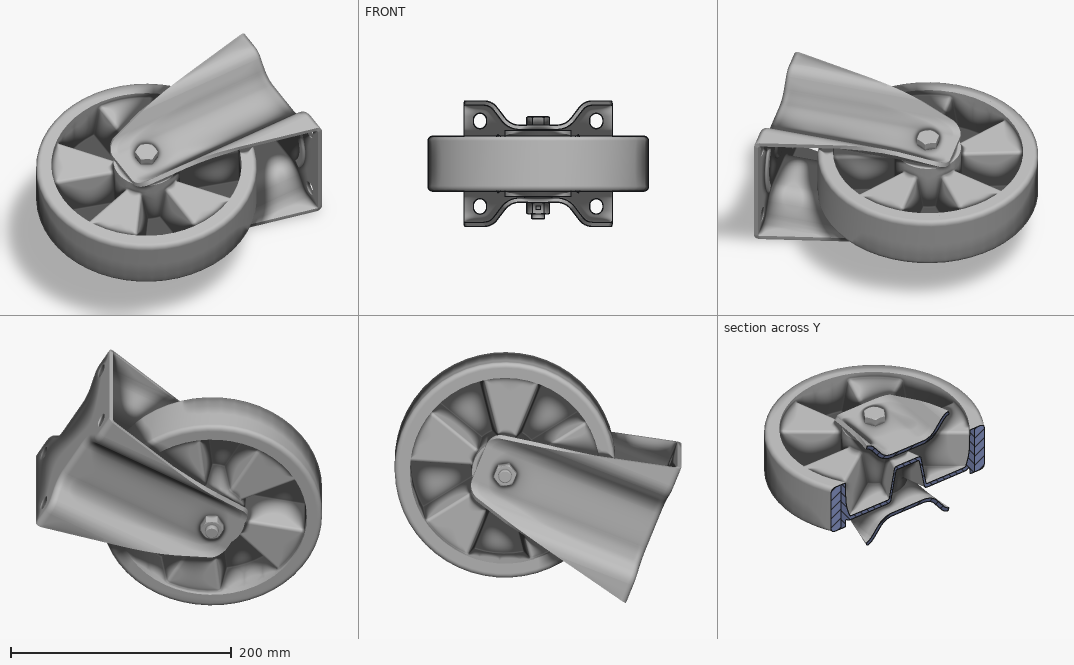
import cadquery as cq
import math


TREAD_RADIUS = 100.0
TREAD_HALF_WIDTH = 25.0
TREAD_EDGE_FILLET = 4.5
CORE_RADIUS = 90.5
RIM_INNER_RADIUS = 86.2
HUB_RADIUS = 30.0
HUB_HALF_WIDTH = 30.0
DRAFT_ANGLE = 1.0
WEB_SECTOR_PAIRS = 5
WEB_RAISED_LEVEL = 19.4
WEB_LOW_LEVEL = -14.7
WEB_WALL_FOOT_OFFSET = 4.0
WEB_WALL_ANGLE = 10.0
WEB_WALL_FILLET = 3.2
WEB_CORNER_FILLET = 1.2

SHEET = 4.0
BRACKET_HEIGHT = 114.0
BRACKET_HALF_WIDTH = 67.4
PLATE_BACK = 145.0
BEND_OUTER_RADIUS = 5.5
ARM_TIP = -25.5
ARM_TIP_HALF_WIDTH = 27.2
ARM_TIP_RADIUS = 13.5
ARM_SEAT_HALF_HEIGHT = 35.0
ARM_SEAT_HALF_WIDTH = 17.2
ARM_VALLEY_RADIUS = 16.0
ARM_CREST_RADIUS = 15.0
ARM_SLOPE_ANGLE = 52.5

SLOT_X = 52.7
SLOT_Z = 38.7
SLOT_LENGTH = 13.7
SLOT_WIDTH = 11.8
EMBOSS_HEIGHT = 2.5
EMBOSS_FILLET = 2.0
RIDGE_OUTER_RADIUS = 45.0
RIDGE_WIDTH = 8.0
RIDGE_HALF_HEIGHT = 26.5
BOSS_RADIUS = 11.8

BOLT_RADIUS = 6.0
BOLT_END = -50.2
BOLT_END_CHAMFER = 0.7
HEX_ACROSS_FLATS = 18.1
HEX_CHAMFER = 0.7
HEAD_HEIGHT = 7.5
NUT_HEIGHT = 10.5
NUT_MARK_WIDTH = 4.0
NUT_MARK_HEIGHT = 3.2
NUT_MARK_DEPTH = 0.5
NUT_MARK_Z = -40.0
SPACER_RADIUS = 12.5

BRACKET_HALF_HEIGHT = BRACKET_HEIGHT / 2
ARM_INNER_Z = ARM_SEAT_HALF_HEIGHT - SHEET
PLATE_INNER_Y = PLATE_BACK - SHEET
SECTOR_ANGLE = 180 / WEB_SECTOR_PAIRS
DRAFT_INSET = (HUB_HALF_WIDTH - WEB_LOW_LEVEL) * math.tan(math.radians(DRAFT_ANGLE))
HUB_FOOT_RADIUS = HUB_RADIUS + DRAFT_INSET
RIM_FOOT_RADIUS = RIM_INNER_RADIUS - DRAFT_INSET


def cylinder(radius, bottom, top):
    """Cylinder about the Z axis between two heights."""
    return cq.Workplane("XY", origin=(0, 0, bottom)).circle(radius).extrude(top - bottom)


def make_tread():
    """Tyre ring with rounded outer edges."""
    blank = cylinder(TREAD_RADIUS, -TREAD_HALF_WIDTH, TREAD_HALF_WIDTH).edges().fillet(TREAD_EDGE_FILLET)
    return blank.cut(cylinder(CORE_RADIUS, -TREAD_HALF_WIDTH, TREAD_HALF_WIDTH))


def raised_web_block(index):
    """Wedge of one raised web sector, with sloping side walls and rounded upper edges."""
    half_angle = math.radians(SECTOR_ANGLE / 2)
    apex = -WEB_WALL_FOOT_OFFSET / math.sin(half_angle)
    reach = 2 * TREAD_RADIUS
    half_reach = (reach - apex) * math.tan(half_angle)
    block = (
        cq.Workplane("XY", origin=(0, 0, WEB_LOW_LEVEL))
        .polyline([(apex, 0), (reach, -half_reach), (reach, half_reach)])
        .close()
        .extrude(WEB_RAISED_LEVEL - WEB_LOW_LEVEL, taper=WEB_WALL_ANGLE)
    )
    block = block.faces(">Z").edges("not(|Y)").fillet(WEB_WALL_FILLET)
    return block.rotate((0, 0, 0), (0, 0, 1), SECTOR_ANGLE * (2 * index + 0.5))


def web_cavity():
    """Space above the corrugated web, between the drafted hub and the drafted rim."""
    cavity = (
        cq.Workplane("XZ")
        .polyline(
            [
                (HUB_RADIUS, HUB_HALF_WIDTH),
                (HUB_FOOT_RADIUS, WEB_LOW_LEVEL),
                (RIM_FOOT_RADIUS, WEB_LOW_LEVEL),
                (RIM_INNER_RADIUS, HUB_HALF_WIDTH),
            ]
        )
        .close()
        .revolve(360, (0, 0), (0, 1))
    )
    for index in range(WEB_SECTOR_PAIRS):
        cavity = cavity.cut(raised_web_block(index))
    corners = [
        edge
        for edge in cavity.edges().vals()
        if edge.Center().z < WEB_RAISED_LEVEL + WEB_CORNER_FILLET
        and (edge.geomType() != "LINE" or edge.Center().z < WEB_LOW_LEVEL + WEB_CORNER_FILLET)
    ]
    return cavity.newObject(corners).fillet(WEB_CORNER_FILLET)


def make_core():
    """Hub, corrugated web and rim; the upper and lower cavities leave the drafted hub and the web."""
    rim_blank = cylinder(CORE_RADIUS, -TREAD_HALF_WIDTH, TREAD_HALF_WIDTH)
    hub_blank = cylinder(HUB_FOOT_RADIUS, -HUB_HALF_WIDTH, HUB_HALF_WIDTH)
    core = rim_blank.union(hub_blank)
    cavity = web_cavity()
    core = core.cut(cavity).cut(cavity.rotate((0, 0, 0), (1, 0, 0), 180))
    return core.cut(cylinder(BOLT_RADIUS, -HUB_HALF_WIDTH, HUB_HALF_WIDTH))


def bracket_envelope():
    """Solid whose curved and back faces are the outer skin of the bracket."""
    angle = math.radians(ARM_SLOPE_ANGLE)
    valley_end_x = ARM_SEAT_HALF_WIDTH + ARM_VALLEY_RADIUS * math.sin(angle)
    valley_end_z = ARM_SEAT_HALF_HEIGHT + ARM_VALLEY_RADIUS * (1 - math.cos(angle))
    crest_start_z = BRACKET_HALF_HEIGHT - ARM_CREST_RADIUS * (1 - math.cos(angle))
    crest_start_x = valley_end_x + (crest_start_z - valley_end_z) / math.tan(angle)
    crest_end_x = crest_start_x + ARM_CREST_RADIUS * math.sin(angle)
    valley_mid_x = ARM_SEAT_HALF_WIDTH + ARM_VALLEY_RADIUS * math.sin(angle / 2)
    valley_mid_z = ARM_SEAT_HALF_HEIGHT + ARM_VALLEY_RADIUS * (1 - math.cos(angle / 2))
    crest_mid_x = crest_end_x - ARM_CREST_RADIUS * math.sin(angle / 2)
    crest_mid_z = BRACKET_HALF_HEIGHT - ARM_CREST_RADIUS * (1 - math.cos(angle / 2))
    quarter = (
        cq.Workplane("XZ", origin=(0, PLATE_BACK, 0))
        .lineTo(0, ARM_SEAT_HALF_HEIGHT)
        .lineTo(ARM_SEAT_HALF_WIDTH, ARM_SEAT_HALF_HEIGHT)
        .threePointArc((valley_mid_x, valley_mid_z), (valley_end_x, valley_end_z))
        .lineTo(crest_start_x, crest_start_z)
        .threePointArc((crest_mid_x, crest_mid_z), (crest_end_x, BRACKET_HALF_HEIGHT))
        .lineTo(BRACKET_HALF_WIDTH, BRACKET_HALF_HEIGHT)
        .lineTo(BRACKET_HALF_WIDTH, 0)
        .close()
        .extrude(PLATE_BACK - ARM_TIP)
    )
    half = quarter.union(quarter.mirror("YZ"))
    envelope = half.union(half.mirror("XY")).clean()
    outline = (
        cq.Workplane("XY", origin=(0, 0, -BRACKET_HALF_HEIGHT))
        .polyline(
            [
                (-BRACKET_HALF_WIDTH, PLATE_BACK),
                (BRACKET_HALF_WIDTH, PLATE_BACK),
                (ARM_TIP_HALF_WIDTH, ARM_TIP),
                (-ARM_TIP_HALF_WIDTH, ARM_TIP),
            ]
        )
        .close()
        .extrude(2 * BRACKET_HALF_HEIGHT)
        .edges("|Z and <Y")
        .fillet(ARM_TIP_RADIUS)
    )
    envelope = envelope.faces(">Y").edges("not(|Z)").fillet(BEND_OUTER_RADIUS)
    return envelope.intersect(outline)


def bracket_sheet():
    """Bracket sheet: every skin face thickened inwards, so that its cut edges stay square to the sheet."""
    sheet = None
    for face in bracket_envelope().faces().vals():
        normal = face.normalAt()
        is_skin = abs(normal.z) > 0.1 or normal.y > 0.9
        if is_skin:
            piece = cq.Workplane(face.thicken(-SHEET))
            sheet = piece if sheet is None else sheet.union(piece)
    return sheet


def plate_boss():
    """Round boss at the centre of the plate, on the wheel side."""
    return (
        cq.Workplane("XZ", origin=(0, PLATE_INNER_Y, 0))
        .circle(BOSS_RADIUS)
        .extrude(EMBOSS_HEIGHT)
        .faces("<Y")
        .edges()
        .fillet(EMBOSS_FILLET)
    )


def plate_ridge():
    """Ridge along an arc about the plate centre, on the -X side."""
    inner_radius = RIDGE_OUTER_RADIUS - RIDGE_WIDTH
    end_angle = math.asin(RIDGE_HALF_HEIGHT / RIDGE_OUTER_RADIUS)
    outer_end_x = -RIDGE_OUTER_RADIUS * math.cos(end_angle)
    inner_end_x = -inner_radius * math.cos(end_angle)
    inner_end_z = inner_radius * math.sin(end_angle)
    return (
        cq.Workplane("XZ", origin=(0, PLATE_INNER_Y, 0))
        .moveTo(outer_end_x, -RIDGE_HALF_HEIGHT)
        .threePointArc((-RIDGE_OUTER_RADIUS, 0), (outer_end_x, RIDGE_HALF_HEIGHT))
        .lineTo(inner_end_x, inner_end_z)
        .threePointArc((-inner_radius, 0), (inner_end_x, -inner_end_z))
        .close()
        .extrude(EMBOSS_HEIGHT)
        .faces("<Y")
        .edges()
        .fillet(EMBOSS_FILLET)
    )


def make_bracket():
    """Bent sheet with an embossed plate, four mounting slots and the bolt holes in the arms."""
    slots = (
        cq.Workplane("XZ", origin=(0, PLATE_BACK, 0))
        .rarray(2 * SLOT_X, 2 * SLOT_Z, 2, 2)
        .slot2D(SLOT_LENGTH, SLOT_WIDTH, 90)
        .extrude(SHEET)
    )
    bolt_hole = cylinder(BOLT_RADIUS, -BRACKET_HALF_HEIGHT, BRACKET_HALF_HEIGHT)
    ridge = plate_ridge()
    bracket = bracket_sheet().union(plate_boss()).union(ridge).union(ridge.mirror("YZ"))
    return bracket.cut(slots).cut(bolt_hole)


def hex_prism(bottom, height, chamfered_ends):
    """Hexagon about the Z axis with corners on the X axis and conically chamfered end corners."""
    corner_diameter = HEX_ACROSS_FLATS / math.cos(math.pi / 6)
    turned = (
        cylinder(corner_diameter / 2, bottom, bottom + height)
        .faces(chamfered_ends)
        .edges()
        .chamfer(HEX_CHAMFER, (corner_diameter - HEX_ACROSS_FLATS) / 2)
    )
    prism = cq.Workplane("XY", origin=(0, 0, bottom)).polygon(6, corner_diameter).extrude(height)
    return prism.intersect(turned)


def make_bolt():
    """Axle bolt with its head on the upper arm."""
    shank = (
        cylinder(BOLT_RADIUS, BOLT_END, ARM_SEAT_HALF_HEIGHT)
        .faces("<Z")
        .edges()
        .chamfer(BOLT_END_CHAMFER)
    )
    return shank.union(hex_prism(ARM_SEAT_HALF_HEIGHT, HEAD_HEIGHT, ">Z"))


def make_nut():
    """Nut under the lower arm, with a shallow rectangular recess in its -Y flat."""
    bottom = -ARM_SEAT_HALF_HEIGHT - NUT_HEIGHT
    nut = hex_prism(bottom, NUT_HEIGHT, "|Z").cut(cylinder(BOLT_RADIUS, bottom, -ARM_SEAT_HALF_HEIGHT))
    mark = cq.Workplane("XY").box(NUT_MARK_WIDTH, 2 * NUT_MARK_DEPTH, NUT_MARK_HEIGHT)
    return nut.cut(mark.translate((0, -HEX_ACROSS_FLATS / 2, NUT_MARK_Z)))


def make_spacer(bottom, top):
    """Washer that fills the gap between a hub end and an arm."""
    return cylinder(SPACER_RADIUS, bottom, top).cut(cylinder(BOLT_RADIUS, bottom, top))


tread = make_tread()
core = make_core()
bracket = make_bracket()
bolt = make_bolt()
nut = make_nut()
spacers = [
    make_spacer(bottom, top)
    for bottom, top in ((HUB_HALF_WIDTH, ARM_INNER_Z), (-ARM_INNER_Z, -HUB_HALF_WIDTH))
]

bodies = [tread, core, bracket, bolt, nut, *spacers]
result = cq.Compound.makeCompound([body.solids().val() for body in bodies])